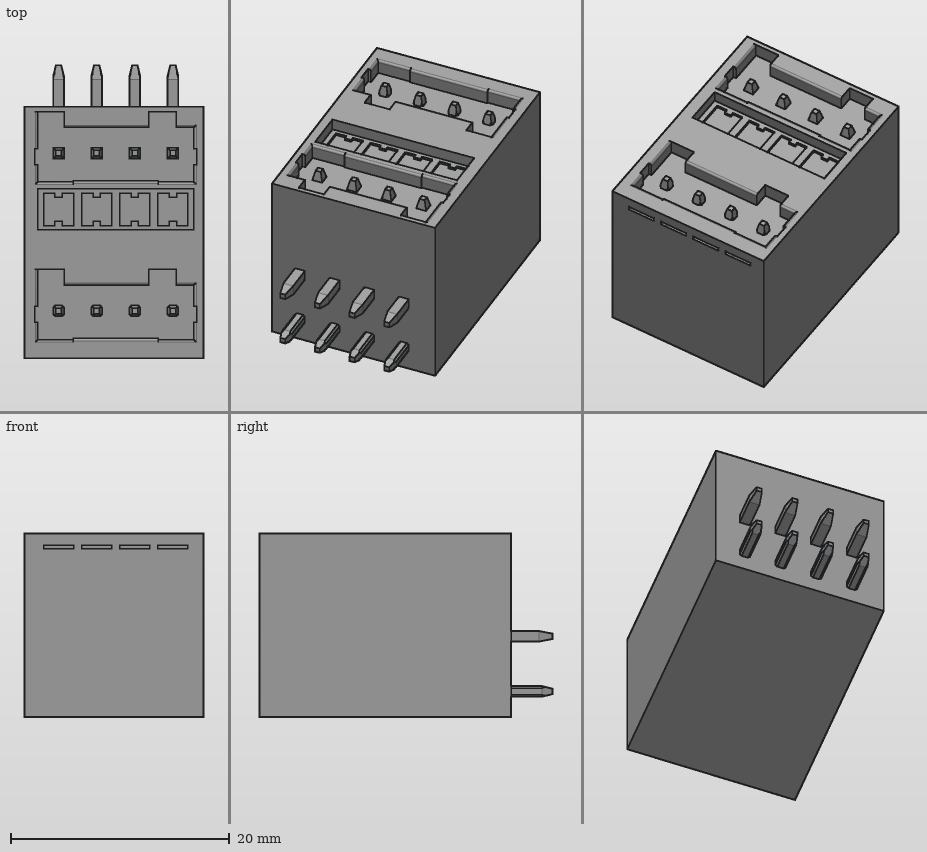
import cadquery as cq

BODY_WIDTH = 16.4
BODY_DEPTH = 23.02
BODY_HEIGHT = 16.8
TOTAL_DEPTH = 26.8

COLUMN_COUNT = 4
COLUMN_PITCH = 3.48
COLUMN_OFFSET = 0.15
COLUMNS = [
    COLUMN_OFFSET + (i - (COLUMN_COUNT - 1) / 2) * COLUMN_PITCH
    for i in range(COLUMN_COUNT)
]

FRONT_ROW_Y = 4.35
REAR_ROW_Y = 18.75
SOCKET_DEPTH = 1.42
SOCKET_WIDTH = 14.25
SOCKET_FRONT = 2.63
SOCKET_BACK = 2.35
RIM_RADIUS = 0.21
KEY_BAY_BACK = 3.8
LEFT_BAY_WIDTH = 2.45
RIGHT_BAY_WIDTH = 2.52
RIGHT_BAY_INSET = 1.58
SIDE_SLOT_SPAN = 14.85
SIDE_SLOT_LENGTH = 1.45
SIDE_SLOT_SHIFT = -0.32
LATCH_RIB_WIDTH = 7.77
LATCH_RIB_HEIGHT = 0.1

PIN_SIZE = 1.0
PIN_TIP_SIZE = 0.5
PIN_CORNER_CUT = 0.2
HEAD_HEIGHT = 1.0
UPPER_TAIL_Z = 7.4
LOWER_TAIL_Z = 2.35
UPPER_TAPER = 1.25
LOWER_TAPER = 1.0

RECESS_WIDTH = 14.25
RECESS_FRONT_Y = 11.75
RECESS_LENGTH = 3.78
RECESS_DEPTH = 1.13
WINDOW_WIDTH = 2.73
WINDOW_LENGTH = 2.97
WINDOW_DEPTH = 0.21
WINDOW_TAB_WIDTH = 0.67
WINDOW_TAB_LENGTH = 0.38

SLIT_HEIGHT = 0.35
SLIT_TOP_GAP = 1.07
SLIT_DEPTH = 1.0


def box(x_range, y_range, z_range):
    """Box between the given limits."""
    size = [high - low for low, high in (x_range, y_range, z_range)]
    corner = (x_range[0], y_range[0], z_range[0])
    return cq.Workplane("XY").box(*size, centered=False).translate(corner)


def centred(middle, length):
    """Limits of a stretch of the given length about its middle."""
    return (middle - length / 2, middle + length / 2)


def flared_channel(plane, limits, along):
    """Channel of socket depth whose two rims are rounded over.

    The channel is sketched between the limits on the plane "XZ" or "YZ" and runs along
    the remaining axis over the given range.
    """
    low, high = limits
    floor = BODY_HEIGHT - SOCKET_DEPTH
    round_start = BODY_HEIGHT - RIM_RADIUS
    profile = (
        cq.Workplane(plane)
        .moveTo(low, floor)
        .lineTo(high, floor)
        .lineTo(high, round_start)
        .radiusArc((high + RIM_RADIUS, BODY_HEIGHT), RIM_RADIUS)
        .lineTo(low - RIM_RADIUS, BODY_HEIGHT)
        .radiusArc((low, round_start), RIM_RADIUS)
        .close()
    )
    length = along[1] - along[0]
    if plane == "XZ":
        return profile.extrude(-length).translate((0, along[0], 0))
    return profile.extrude(length).translate((along[0], 0, 0))


def socket_cutter(row_y):
    """Keyed socket with a rounded rim, side slots and a latch rib."""
    z_range = (BODY_HEIGHT - SOCKET_DEPTH, BODY_HEIGHT)
    left, right = centred(COLUMN_OFFSET, SOCKET_WIDTH)
    front = row_y - SOCKET_FRONT
    back = row_y + SOCKET_BACK
    mouth_x = (left - RIM_RADIUS, right + RIM_RADIUS)
    mouth_y = (front - RIM_RADIUS, back + RIM_RADIUS)
    rib_left, rib_right = centred(COLUMN_OFFSET, LATCH_RIB_WIDTH)

    lengthwise = flared_channel("YZ", (front, back), (mouth_x[0], rib_left))
    lengthwise = lengthwise.union(
        flared_channel("YZ", (front + LATCH_RIB_HEIGHT, back), (rib_left, rib_right))
    )
    lengthwise = lengthwise.union(flared_channel("YZ", (front, back), (rib_right, mouth_x[1])))
    cutter = lengthwise.intersect(flared_channel("XZ", (left, right), mouth_y))

    bay_y = (row_y, row_y + KEY_BAY_BACK)
    left_bay = box((mouth_x[0], left + LEFT_BAY_WIDTH), bay_y, z_range)
    cutter = cutter.union(left_bay.intersect(flared_channel("XZ", (left, right), bay_y)))
    bay_right = right - RIGHT_BAY_INSET
    cutter = cutter.union(box((bay_right - RIGHT_BAY_WIDTH, bay_right), bay_y, z_range))

    side_slots = box(
        centred(COLUMN_OFFSET, SIDE_SLOT_SPAN),
        centred(row_y + SIDE_SLOT_SHIFT, SIDE_SLOT_LENGTH),
        z_range,
    )
    return cutter.union(side_slots)


def contact(length, taper, corner_cut):
    """Contact along +Z from the origin: a square bar ending in a tapered point."""
    point = (
        cq.Workplane("XY", origin=(0, 0, length - taper))
        .rect(PIN_SIZE, PIN_SIZE)
        .workplane(offset=taper)
        .rect(PIN_TIP_SIZE, PIN_TIP_SIZE)
        .loft(ruled=True)
    )
    if length > taper:
        shank = cq.Workplane("XY").rect(PIN_SIZE, PIN_SIZE).extrude(length - taper)
        point = shank.union(point)
    if corner_cut > 0:
        envelope = cq.Workplane("XY").rect(PIN_SIZE, PIN_SIZE).extrude(length)
        point = point.intersect(envelope.edges("|Z").chamfer(corner_cut))
    return point


def add_contacts(body, row_y, tail_z, tail_taper, corner_cut):
    """Contact heads in one socket and their tails on the back face."""
    head = contact(HEAD_HEIGHT, HEAD_HEIGHT, corner_cut)
    tail = contact(TOTAL_DEPTH - BODY_DEPTH, tail_taper, corner_cut)
    tail = tail.rotate((0, 0, 0), (1, 0, 0), -90)
    for x in COLUMNS:
        body = body.union(head.translate((x, row_y, BODY_HEIGHT - SOCKET_DEPTH)))
        body = body.union(tail.translate((x, BODY_DEPTH, tail_z)))
    return body


def window_cutter(x):
    """Shallow indicator window with a tab in the middle of its front and back edges."""
    floor = BODY_HEIGHT - RECESS_DEPTH
    z_range = (floor - WINDOW_DEPTH, floor)
    y_range = centred(RECESS_FRONT_Y + RECESS_LENGTH / 2, WINDOW_LENGTH)
    tab_x = centred(x, WINDOW_TAB_WIDTH)
    window = box(centred(x, WINDOW_WIDTH), y_range, z_range)
    window = window.cut(box(tab_x, (y_range[0], y_range[0] + WINDOW_TAB_LENGTH), z_range))
    return window.cut(box(tab_x, (y_range[1] - WINDOW_TAB_LENGTH, y_range[1]), z_range))


def slit_cutter(x):
    """Slit in the front face."""
    top = BODY_HEIGHT - SLIT_TOP_GAP
    return box(centred(x, WINDOW_WIDTH), (0, SLIT_DEPTH), (top - SLIT_HEIGHT, top))


result = box(centred(0, BODY_WIDTH), (0, BODY_DEPTH), (0, BODY_HEIGHT))

for socket_row in (FRONT_ROW_Y, REAR_ROW_Y):
    result = result.cut(socket_cutter(socket_row))

result = result.cut(box(
    centred(COLUMN_OFFSET, RECESS_WIDTH),
    (RECESS_FRONT_Y, RECESS_FRONT_Y + RECESS_LENGTH),
    (BODY_HEIGHT - RECESS_DEPTH, BODY_HEIGHT),
))
for column_x in COLUMNS:
    result = result.cut(window_cutter(column_x))
    result = result.cut(slit_cutter(column_x))

result = add_contacts(result, FRONT_ROW_Y, LOWER_TAIL_Z, LOWER_TAPER, PIN_CORNER_CUT)
result = add_contacts(result, REAR_ROW_Y, UPPER_TAIL_Z, UPPER_TAPER, corner_cut=0)